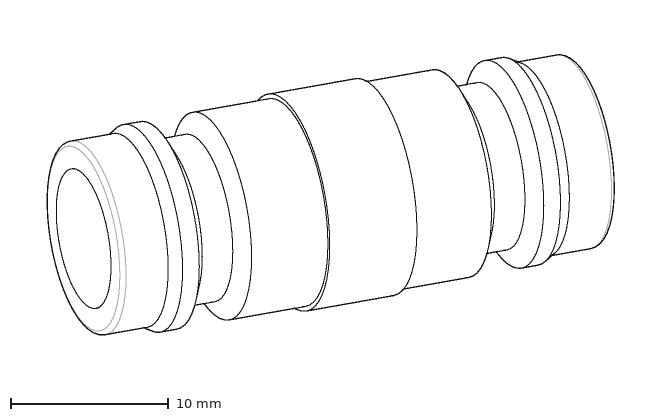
import cadquery as cq


bore_radius = 4.5
collar_radius = 7.0
body_radius = 6.7
groove_radius = 5.4
end_radius = 6.25

half_length = 17.0
collar_half_length = 3.0
body_end = 8.25
groove_start = 9.0
groove_end = 11.1
bead_start = 11.85
bead_end = 13.0
bead_foot = 13.8

rim_fillet = 0.3


def half_profile():
    """Outer (radius, y) points from the collar edge out to the +Y end."""
    return [
        (collar_radius, collar_half_length),
        (body_radius, collar_half_length),
        (body_radius, body_end),
        (groove_radius, groove_start),
        (groove_radius, groove_end),
        (body_radius, bead_start),
        (body_radius, bead_end),
        (end_radius, bead_foot),
        (end_radius, half_length),
        (bore_radius, half_length),
    ]


def coupling():
    """Tube wall section, closed along the bore, revolved about the Y axis."""
    upper = half_profile()
    lower = [(radius, -y) for radius, y in reversed(upper)]
    section = cq.Workplane("XY").polyline(lower + upper).close()
    return section.revolve(360, (0, 0, 0), (0, 1, 0))


def round_end_rims(body):
    """Fillet the outer edge of both end faces, the larger circle of each ring."""
    rims = body.faces("<Y or >Y").edges(cq.selectors.RadiusNthSelector(-1))
    return rims.fillet(rim_fillet)


result = round_end_rims(coupling())